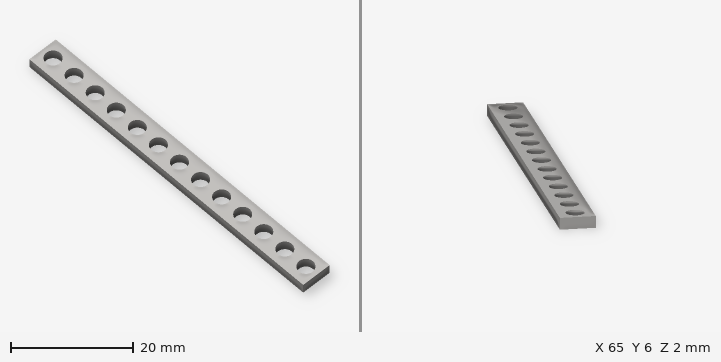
import cadquery as cq

length = 65.0
width = 6.0
thickness = 2.0

hole_count = 13
hole_diameter = 3.1
hole_pitch = length / hole_count

bar = cq.Workplane("XY").box(length, width, thickness)

result = (
    bar.faces(">Z")
    .workplane()
    .rarray(hole_pitch, width, hole_count, 1)
    .hole(hole_diameter)
)